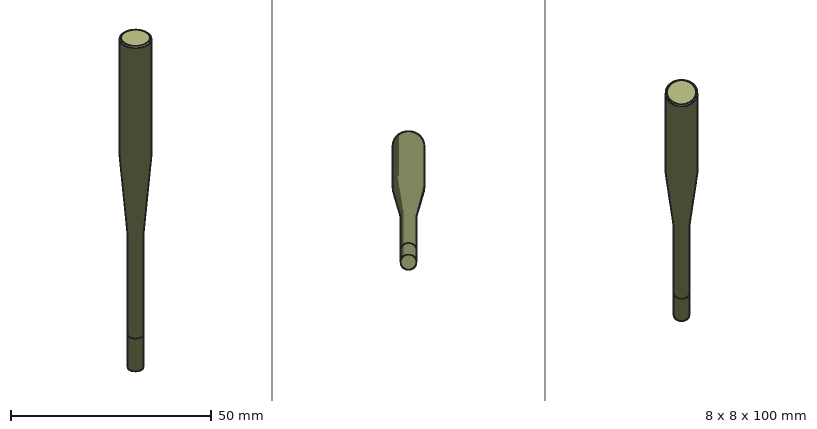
import cadquery as cq

total_length = 100.0
shank_diameter = 8.0
shank_length = 36.0
shank_chamfer = 0.4
neck_diameter = 4.0
neck_length = 30.0
cutting_diameter = 4.0
cutting_length = 10.0

shank_radius = shank_diameter / 2
neck_radius = neck_diameter / 2
neck_top = cutting_length + neck_length
shank_bottom = total_length - shank_length


def make_cutting_tip():
    """Plain cylinder enclosing the cutting end."""
    return cq.Workplane("XY").circle(cutting_diameter / 2).extrude(cutting_length)


def make_holder():
    """Neck, taper and chamfered shank, revolved about the tool axis."""
    half_profile = [
        (0, cutting_length),
        (neck_radius, cutting_length),
        (neck_radius, neck_top),
        (shank_radius, shank_bottom),
        (shank_radius, total_length - shank_chamfer),
        (shank_radius - shank_chamfer, total_length),
        (0, total_length),
    ]
    return cq.Workplane("XZ").polyline(half_profile).close().revolve(360, (0, 0), (0, 1))


cutting_tip = make_cutting_tip()
holder = make_holder()

result = cq.Compound.makeCompound([cutting_tip.val(), holder.val()])